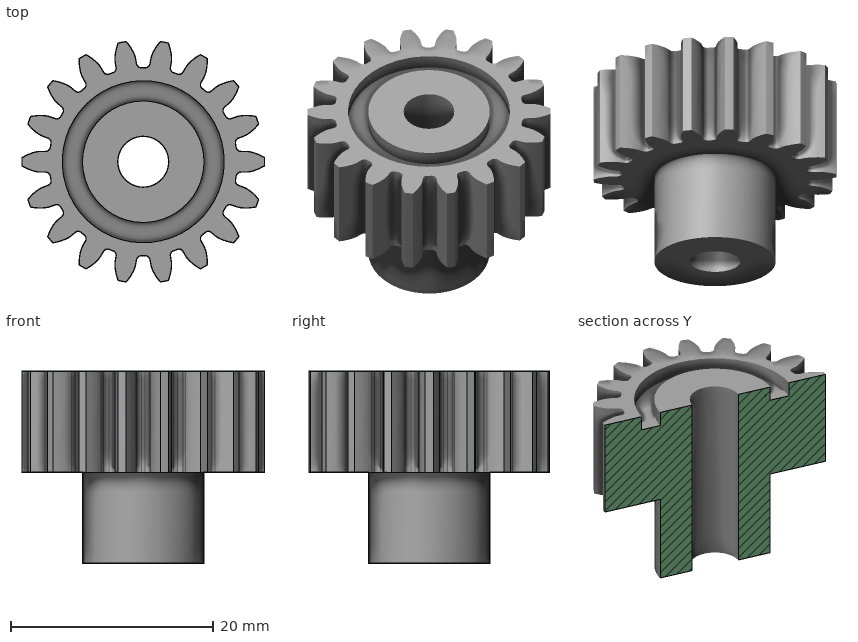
import cadquery as cq
import math

module = 1.2
tooth_count = 18
pressure_angle = math.radians(20)
addendum = module
dedendum = 1.25 * module
root_fillet = 0.38 * module
flank_steps = 6

gear_width = 10.0
hub_length = 9.0
hub_radius = 6.0
bore_radius = 2.5
recess_radius = 8.0
recess_depth = 1.5

pitch_radius = module * tooth_count / 2
tip_radius = pitch_radius + addendum
root_radius = pitch_radius - dedendum
base_radius = pitch_radius * math.cos(pressure_angle)
tooth_pitch_angle = 2 * math.pi / tooth_count


def involute(angle):
    """Involute function of a pressure angle."""
    return math.tan(angle) - angle


def polar(radius, angle):
    """Cartesian point at a radius and an angle about the gear axis."""
    return (radius * math.cos(angle), radius * math.sin(angle))


def flank_angle(radius):
    """Half of the angle that the tooth spans at a radius on its involute flank."""
    angle_at_pitch = tooth_pitch_angle / 4
    roll = math.acos(min(1.0, base_radius / radius))
    return angle_at_pitch + involute(pressure_angle) - involute(roll)


def make_tooth():
    """One tooth on the +X axis: involute flanks, with parallel sides below the base circle."""
    radial_step = (tip_radius - base_radius) / flank_steps
    radii = [base_radius + radial_step * i for i in range(flank_steps + 1)]
    upper_flank = [polar(r, flank_angle(r)) for r in radii]
    lower_flank = [(x, -y) for x, y in reversed(upper_flank)]
    half_thickness = upper_flank[0][1]
    return (
        cq.Workplane("XY")
        .moveTo(recess_radius, half_thickness)
        .lineTo(*upper_flank[0])
        .spline(upper_flank[1:], includeCurrent=True)
        .threePointArc((tip_radius, 0), lower_flank[0])
        .spline(lower_flank[1:], includeCurrent=True)
        .lineTo(recess_radius, -half_thickness)
        .close()
        .extrude(gear_width)
    )


def make_gear():
    """Toothed rim with the tooth roots filleted, standing on Z = 0."""
    gear = cq.Workplane("XY").circle(root_radius).extrude(gear_width)
    tooth = make_tooth()
    for i in range(tooth_count):
        gear = gear.union(tooth.rotate((0, 0, 0), (0, 0, 1), 360 * i / tooth_count))
    root_limit = (root_radius + base_radius) / 2
    root_edges = [
        edge
        for edge in gear.edges("|Z").vals()
        if math.hypot(edge.Center().x, edge.Center().y) < root_limit
    ]
    return gear.newObject(root_edges).fillet(root_fillet)


def make_recess():
    """Ring-shaped recess around the hub in the top face."""
    return (
        cq.Workplane("XY", origin=(0, 0, gear_width - recess_depth))
        .circle(recess_radius)
        .circle(hub_radius)
        .extrude(recess_depth)
    )


def make_hub():
    """Cylindrical hub below the gear."""
    return cq.Workplane("XY").circle(hub_radius).extrude(-hub_length)


def make_bore():
    """Through bore along the whole part."""
    return (
        cq.Workplane("XY", origin=(0, 0, -hub_length))
        .circle(bore_radius)
        .extrude(hub_length + gear_width)
    )


result = make_gear().cut(make_recess()).union(make_hub()).cut(make_bore())